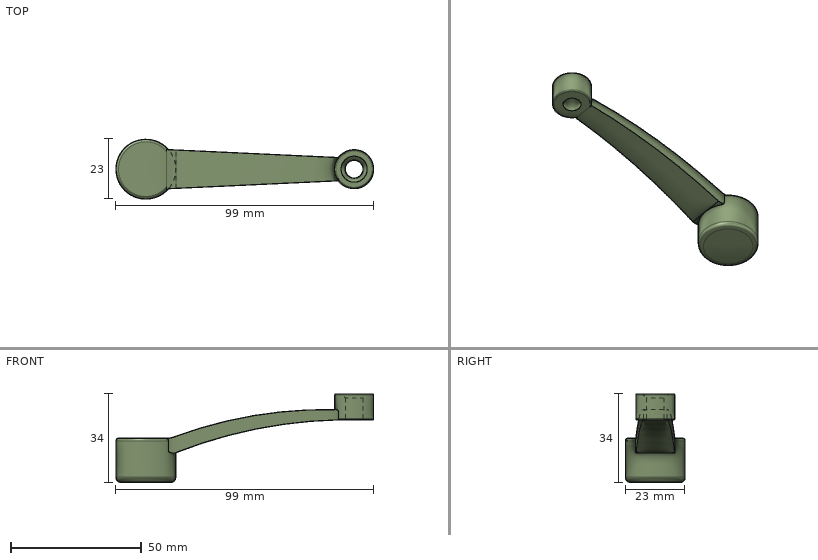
import cadquery as cq
import math

HUB_DIAMETER = 23.0
HUB_HEIGHT = 17.0
HUB_TOP_FILLET = 1.0
HUB_BOTTOM_FILLET = 2.0

EYE_CENTER_X = 80.0
EYE_DIAMETER = 15.0
EYE_BOTTOM_Z = 24.0
EYE_HEIGHT = 10.0
EYE_RIM_FILLET = 0.5
HOLE_DIAMETER = 6.8
COUNTERSINK_DIAMETER = 10.0
COUNTERSINK_ANGLE = 90.0

ARM_HUB_WIDTH = 15.1
ARM_EYE_WIDTH = 9.0
ARM_EYE_THICKNESS = 4.0
ARM_EYE_TOP_Z = EYE_BOTTOM_Z + ARM_EYE_THICKNESS
ARM_HUB_BOTTOM_Z = 11.4
ARM_CORNER_RADIUS = 1.0
ARM_TOP_START_X = 7.9
BLEND_END_X = HUB_DIAMETER / 2
BLEND_END_Z = 17.75
ARC_MIDDLE_X = 38.1
TOP_ARC_MIDDLE_Z = 25.1
BOTTOM_ARC_MIDDLE_Z = 19.6

ARM_HUB_END_X = math.sqrt((HUB_DIAMETER / 2) ** 2 - (ARM_HUB_WIDTH / 2) ** 2)
ARM_EYE_END_X = EYE_CENTER_X - math.sqrt((EYE_DIAMETER / 2) ** 2 - (ARM_EYE_WIDTH / 2) ** 2)
TOP_ARC_END_X = EYE_CENTER_X - EYE_DIAMETER / 2


def make_hub():
    hub = cq.Workplane("XY").circle(HUB_DIAMETER / 2).extrude(HUB_HEIGHT)
    hub = hub.faces(">Z").edges().fillet(HUB_TOP_FILLET)
    return hub.faces("<Z").edges().fillet(HUB_BOTTOM_FILLET)


def make_eye():
    eye = (
        cq.Workplane("XY", origin=(EYE_CENTER_X, 0, EYE_BOTTOM_Z))
        .circle(EYE_DIAMETER / 2)
        .extrude(EYE_HEIGHT)
    )
    return eye.faces("<Z or >Z").edges().fillet(EYE_RIM_FILLET)


def blend_middle():
    """Middle point of the arc that starts level at the hub top and rises to the blend end."""
    run = BLEND_END_X - ARM_TOP_START_X
    rise = BLEND_END_Z - HUB_HEIGHT
    radius = (run ** 2 + rise ** 2) / (2 * rise)
    half_angle = math.atan2(rise, run)
    middle_x = ARM_TOP_START_X + radius * math.sin(half_angle)
    middle_z = HUB_HEIGHT + radius * (1 - math.cos(half_angle))
    return middle_x, middle_z


def make_arm_profile():
    """Side shape of the arm, as wide as its hub end over its whole length."""
    corner_inset = ARM_CORNER_RADIUS * (1 - math.sqrt(0.5))
    hub_corner_middle = (ARM_HUB_END_X + corner_inset, ARM_HUB_BOTTOM_Z + corner_inset)
    eye_corner_middle = (ARM_EYE_END_X - corner_inset, ARM_EYE_TOP_Z - corner_inset)
    return (
        cq.Workplane("XZ")
        .moveTo(ARM_TOP_START_X, HUB_HEIGHT)
        .threePointArc(blend_middle(), (BLEND_END_X, BLEND_END_Z))
        .threePointArc((ARC_MIDDLE_X, TOP_ARC_MIDDLE_Z), (TOP_ARC_END_X, ARM_EYE_TOP_Z))
        .lineTo(ARM_EYE_END_X - ARM_CORNER_RADIUS, ARM_EYE_TOP_Z)
        .threePointArc(eye_corner_middle, (ARM_EYE_END_X, ARM_EYE_TOP_Z - ARM_CORNER_RADIUS))
        .lineTo(ARM_EYE_END_X, EYE_BOTTOM_Z)
        .threePointArc((ARC_MIDDLE_X, BOTTOM_ARC_MIDDLE_Z), (HUB_DIAMETER / 2, ARM_HUB_BOTTOM_Z))
        .lineTo(ARM_HUB_END_X + ARM_CORNER_RADIUS, ARM_HUB_BOTTOM_Z)
        .threePointArc(hub_corner_middle, (ARM_HUB_END_X, ARM_HUB_BOTTOM_Z + ARM_CORNER_RADIUS))
        .close()
        .extrude(ARM_HUB_WIDTH / 2, both=True)
    )


def make_arm():
    """Arm profile trimmed to its tapering plan shape."""
    plan = (
        cq.Workplane("XY")
        .moveTo(0, -ARM_HUB_WIDTH / 2)
        .lineTo(ARM_HUB_END_X, -ARM_HUB_WIDTH / 2)
        .lineTo(ARM_EYE_END_X, -ARM_EYE_WIDTH / 2)
        .lineTo(ARM_EYE_END_X, ARM_EYE_WIDTH / 2)
        .lineTo(ARM_HUB_END_X, ARM_HUB_WIDTH / 2)
        .lineTo(0, ARM_HUB_WIDTH / 2)
        .close()
        .extrude(EYE_BOTTOM_Z + EYE_HEIGHT)
    )
    return make_arm_profile().intersect(plan)


def make_hole():
    """Through hole of the eye with a conical countersink at its top."""
    top_z = EYE_BOTTOM_Z + EYE_HEIGHT
    hole_radius = HOLE_DIAMETER / 2
    sink_radius = COUNTERSINK_DIAMETER / 2
    sink_depth = (sink_radius - hole_radius) / math.tan(math.radians(COUNTERSINK_ANGLE / 2))
    return (
        cq.Workplane("XZ", origin=(EYE_CENTER_X, 0, 0))
        .moveTo(0, EYE_BOTTOM_Z)
        .lineTo(hole_radius, EYE_BOTTOM_Z)
        .lineTo(hole_radius, top_z - sink_depth)
        .lineTo(sink_radius, top_z)
        .lineTo(0, top_z)
        .close()
        .revolve(360, (0, 0, 0), (0, 1, 0))
    )


result = make_hub().union(make_arm()).union(make_eye()).cut(make_hole())